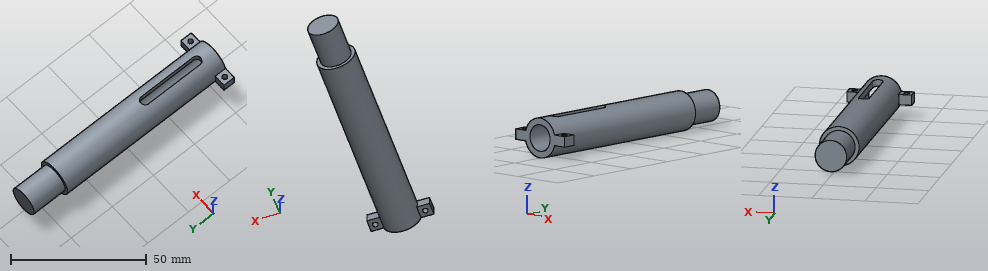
import cadquery as cq

total_length = 92.0
spigot_length = 15.0
body_length = total_length - spigot_length
body_diameter = 15.0
spigot_diameter = 12.0

bore_diameter = 10.0
end_wall = 5.0
bore_depth = body_length - end_wall

lug_span = 24.5
lug_length = 5.1
lug_thickness = 4.0
lug_hole_diameter = 2.0
lug_hole_offset = 9.75
lug_hole_setback = 2.5

slot_width = 4.0
slot_start = 6.0
slot_end = 35.0


def rod(diameter, start, length):
    """Cylinder along +Y beginning at Y = start."""
    return (
        cq.Workplane("XZ", origin=(0, start, 0))
        .circle(diameter / 2)
        .extrude(-length)
    )


def lug_bar():
    """Flat bar across the open end, with one vertical hole in each lug."""
    bar = cq.Workplane("XY").box(lug_span, lug_length, lug_thickness, centered=(True, False, True))
    holes = (
        cq.Workplane("XY", origin=(0, lug_hole_setback, -lug_thickness / 2))
        .pushPoints([(-lug_hole_offset, 0), (lug_hole_offset, 0)])
        .circle(lug_hole_diameter / 2)
        .extrude(lug_thickness)
    )
    return bar.cut(holes)


def slot_cutter():
    """Round-ended slot running along Y, cutting upward from the tube axis."""
    return (
        cq.Workplane("XY", origin=(0, (slot_start + slot_end) / 2, 0))
        .slot2D(slot_end - slot_start, slot_width, 90)
        .extrude(body_diameter)
    )


body = rod(body_diameter, 0, body_length)
spigot = rod(spigot_diameter, body_length, spigot_length)
bore = rod(bore_diameter, 0, bore_depth)

result = body.union(spigot).union(lug_bar()).cut(bore).cut(slot_cutter())